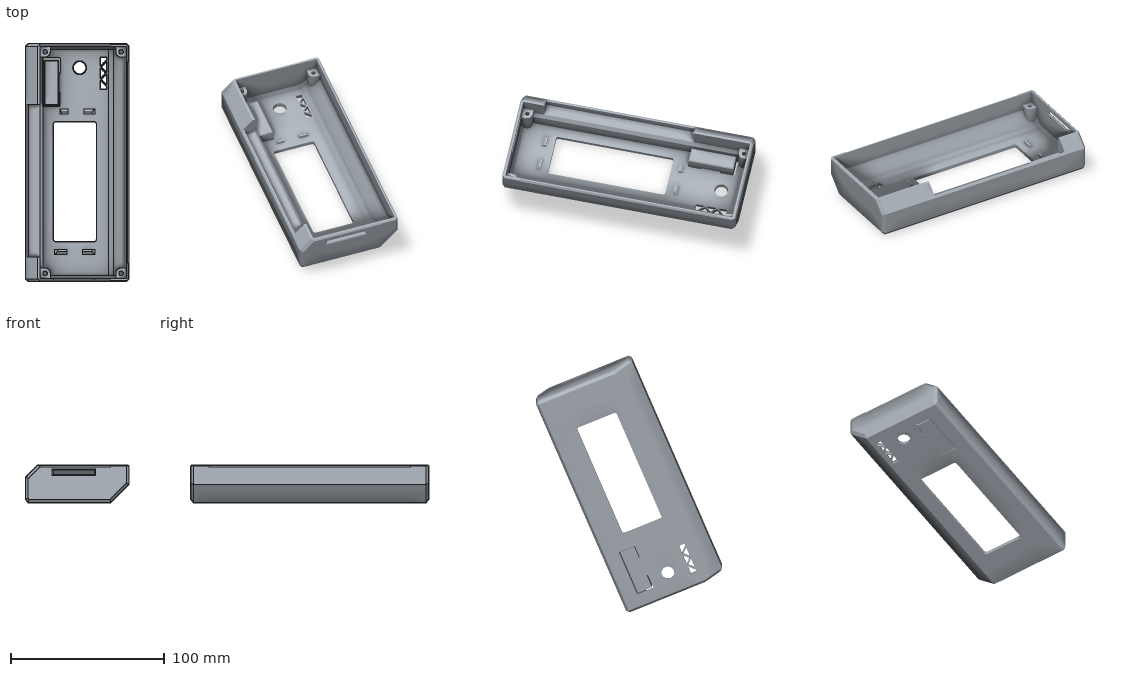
import cadquery as cq
WIDTH = 67.6
LENGTH = 155.0
HEIGHT = 24.5
END_WALL = 2.0
RIGHT_WALL = 1.9
FLOOR = 2.5

LEFT_SLOPE = 7.9
RIGHT_SLOPE = 12.1
CORNER_BEVEL = 1.9
BOTTOM_BEVEL_HEIGHT = 2.3
RIM_BEVEL = 1.0
RIM_CORNER_BEVEL = 0.6

LEFT_WALL = 9.5
LEFT_WALL_STEP = 2.0
LEDGE_Z = 12.9
FLOOR_BEVEL = 2.0
SLOPE_FOOT_X = 57.5
FACET_RUN = 3.4
FACET_RISE = 1.5

NOTCH_BACK_Y = 37.7
NOTCH_FRONT_Y = -61.5
LIP_RISE = 1.0
LIP_INNER_X = 2.0

BOSS_RADIUS = 3.4
BOSS_INSET = 3.4
BOSS_TOP_Z = 16.0
SCREW_HOLE_DIAMETER = 3.0
SCREW_HOLE_DEPTH = 6.0

WINDOW_X = (18.3, 46.2)
WINDOW_Y = (-51.5, 26.5)
WINDOW_RADIUS = 1.5
ROUND_HOLE_CENTER = (35.3, 61.7)
ROUND_HOLE_DIAMETER = 8.0
ROUND_HOLE_TOP_DIAMETER = 9.0
VENT_CENTER = (50.8, 58.1)
VENT_WIDTH = 4.0
VENT_LENGTH = 20.6
VENT_BAR_WIDTH = 1.0
VENT_BAR_COUNT = 4

BUTTON_X = (12.1, 21.9)
BUTTON_Y = (37.0, 66.8)
BUTTON_TOP_Z = 9.3
BUTTON_BEVEL = 0.6
GAP_X = (11.2, 22.5)
GAP_Y = (36.6, 68.0)
WIDE_GAP_X = 22.8
BRIDGE_Y = (45.4, 58.1)
GAP_RADIUS = 0.6

RIDGE_HEIGHT = 1.9
RIDGE_DEPTH = 3.3
RIDGE_SLOPE = RIDGE_HEIGHT
SHORT_RIDGE_SLOPE = 1.0
BACK_RIDGE_Y = 31.6
FRONT_RIDGE_Y = -56.5
RIDGE_OUTER_RIGHT_X = 45.3

SLOT_X = (17.5, 45.7)
SLOT_Z = (17.7, 22.0)
SLOT_BEVEL = 0.8

HALF_LENGTH = LENGTH / 2
CAVITY_HALF_LENGTH = HALF_LENGTH - END_WALL
CAVITY_RIGHT = WIDTH - RIGHT_WALL
KNEE_Z = HEIGHT - LEFT_SLOPE


def box(x_range, y_range, z_range):
    """Axis-aligned block between the given limits."""
    size = [high - low for low, high in (x_range, y_range, z_range)]
    return cq.Workplane("XY").box(*size, centered=False).translate((x_range[0], y_range[0], z_range[0]))


def prism_along_y(points, y_start, y_end):
    """Extrude an (x, z) outline between two Y positions."""
    prism = cq.Workplane("XZ").polyline(points).close().extrude(y_start - y_end)
    return prism.translate((0, y_start, 0))


def prism_along_x(points, x_start, x_end):
    """Extrude a (y, z) outline between two X positions."""
    prism = cq.Workplane("YZ").polyline(points).close().extrude(x_end - x_start)
    return prism.translate((x_start, 0, 0))


def outer_shell():
    profile = [
        (CORNER_BEVEL, 0),
        (WIDTH - RIGHT_SLOPE, 0),
        (WIDTH, RIGHT_SLOPE),
        (WIDTH, HEIGHT),
        (LEFT_SLOPE, HEIGHT),
        (0, KNEE_Z),
        (0, BOTTOM_BEVEL_HEIGHT),
    ]
    shell = prism_along_y(profile, -HALF_LENGTH, HALF_LENGTH)
    shell = shell.faces("<Y or >Y").edges("not |X").chamfer(CORNER_BEVEL)
    bevel_y = HALF_LENGTH - CORNER_BEVEL
    end_outline = [
        (-bevel_y, 0),
        (bevel_y, 0),
        (HALF_LENGTH, BOTTOM_BEVEL_HEIGHT),
        (HALF_LENGTH, HEIGHT),
        (-HALF_LENGTH, HEIGHT),
        (-HALF_LENGTH, BOTTOM_BEVEL_HEIGHT),
    ]
    return shell.intersect(prism_along_x(end_outline, 0, WIDTH))


def rim_bevels():
    """Wedges that bevel the rim, with a smaller bevel around the two +X corners."""
    corner_x = WIDTH - RIGHT_SLOPE
    corner_y = HALF_LENGTH - RIGHT_SLOPE

    def right_wedge(bevel, y_start, y_end):
        corner = [(WIDTH, HEIGHT), (WIDTH - bevel, HEIGHT), (WIDTH, HEIGHT - bevel)]
        return prism_along_y(corner, y_start, y_end)

    def end_wedge(bevel, side, x_start, x_end):
        end_y = side * HALF_LENGTH
        corner = [(end_y, HEIGHT), (end_y - side * bevel, HEIGHT), (end_y, HEIGHT - bevel)]
        return prism_along_x(corner, x_start, x_end)

    wedges = right_wedge(RIM_BEVEL, -corner_y, corner_y)
    wedges = wedges.union(right_wedge(RIM_CORNER_BEVEL, -HALF_LENGTH, HALF_LENGTH))
    for side in (-1, 1):
        wedges = wedges.union(end_wedge(RIM_BEVEL, side, 0, corner_x))
        wedges = wedges.union(end_wedge(RIM_CORNER_BEVEL, side, corner_x, WIDTH))
    return wedges


def cavity():
    step_x = LEFT_WALL + LEFT_WALL_STEP
    slope_foot_z = FLOOR + FACET_RISE
    slope_top_z = slope_foot_z + CAVITY_RIGHT - SLOPE_FOOT_X
    profile = [
        (LEFT_WALL, HEIGHT),
        (LEFT_WALL, LEDGE_Z),
        (step_x, LEDGE_Z - LEFT_WALL_STEP),
        (step_x, FLOOR),
        (SLOPE_FOOT_X - FACET_RUN, FLOOR),
        (SLOPE_FOOT_X, slope_foot_z),
        (CAVITY_RIGHT, slope_top_z),
        (CAVITY_RIGHT, HEIGHT),
    ]
    hollow = prism_along_y(profile, -CAVITY_HALF_LENGTH, CAVITY_HALF_LENGTH)
    lower_corner = (step_x, -HALF_LENGTH, 0)
    upper_corner = (CAVITY_RIGHT, HALF_LENGTH, slope_top_z)
    lower_edges = cq.selectors.BoxSelector(lower_corner, upper_corner)
    return hollow.faces("<Y or >Y").edges("not |Z").edges(lower_edges).chamfer(FLOOR_BEVEL)


def side_notch():
    lip_z = KNEE_Z + LIP_RISE
    profile = [
        (0, lip_z),
        (LIP_INNER_X, lip_z),
        (LIP_INNER_X, LEDGE_Z),
        (LEFT_WALL, LEDGE_Z),
        (LEFT_WALL, HEIGHT),
        (0, HEIGHT),
    ]
    return prism_along_y(profile, NOTCH_FRONT_Y, NOTCH_BACK_Y)


def add_bosses(body):
    """Add a screw boss in each corner of the cavity, then drill its blind hole."""
    shell = outer_shell()
    reach = BOSS_INSET + BOSS_RADIUS
    for wall_x, inward_x in ((LEFT_WALL, 1), (CAVITY_RIGHT, -1)):
        for wall_y, inward_y in ((-CAVITY_HALF_LENGTH, 1), (CAVITY_HALF_LENGTH, -1)):
            block = box(
                sorted((wall_x, wall_x + inward_x * reach)),
                sorted((wall_y, wall_y + inward_y * reach)),
                (0, BOSS_TOP_Z),
            )
            free_side = ("<" if inward_x < 0 else ">") + "X"
            free_end = ("<" if inward_y < 0 else ">") + "Y"
            boss = block.faces(free_side).edges(free_end).fillet(BOSS_RADIUS)
            body = body.union(boss.intersect(shell))
            center = (wall_x + inward_x * BOSS_INSET, wall_y + inward_y * BOSS_INSET, BOSS_TOP_Z)
            hole = cq.Workplane("XY").circle(SCREW_HOLE_DIAMETER / 2).extrude(-SCREW_HOLE_DEPTH)
            body = body.cut(hole.translate(center))
    return body


def window():
    return box(WINDOW_X, WINDOW_Y, (0, FLOOR)).edges("|Z").fillet(WINDOW_RADIUS)


def round_hole():
    """Round hole that widens evenly towards the top of the floor."""
    lower = cq.Workplane("XY").circle(ROUND_HOLE_DIAMETER / 2)
    cone = lower.workplane(offset=FLOOR).circle(ROUND_HOLE_TOP_DIAMETER / 2).loft()
    return cone.translate((*ROUND_HOLE_CENTER, 0))


def vent():
    """Rectangular opening crossed by a zigzag of 45 degree bars."""
    opening = cq.Workplane("XY").rect(VENT_WIDTH, VENT_LENGTH).extrude(FLOOR)
    bar_length = 2 * VENT_WIDTH
    for index in range(VENT_BAR_COUNT):
        bar_y = (index - (VENT_BAR_COUNT - 1) / 2) * VENT_WIDTH
        angle = -45 if index % 2 == 0 else 45
        bar = cq.Workplane("XY").rect(bar_length, VENT_BAR_WIDTH).extrude(FLOOR)
        bar = bar.rotate((0, 0, 0), (0, 0, 1), angle).translate((0, bar_y, 0))
        opening = opening.cut(bar)
    return opening.translate((*VENT_CENTER, 0))


def button_gap():
    """Slot around the button, interrupted by the bridge that holds the button."""
    gap_z = (0, FLOOR)
    gap = box(GAP_X, GAP_Y, gap_z)
    gap = gap.union(box((BUTTON_X[1], WIDE_GAP_X), (BRIDGE_Y[1], GAP_Y[1]), gap_z))
    gap = gap.edges("|Z and (<Y or >Y)").fillet(GAP_RADIUS)
    return gap.cut(box((BUTTON_X[1], WIDE_GAP_X), BRIDGE_Y, gap_z))


def button():
    return box(BUTTON_X, BUTTON_Y, (0, BUTTON_TOP_Z)).faces(">Z").edges().chamfer(BUTTON_BEVEL)


def ridge(x_upright, x_slope_foot, y_upright, y_direction, end_slope=RIDGE_SLOPE):
    """Ridge with one upright long side, the other long side and one end sloping."""
    top_z = FLOOR + RIDGE_HEIGHT
    end_direction = 1 if x_slope_foot > x_upright else -1
    y_foot = y_upright + y_direction * RIDGE_DEPTH
    long_outline = [
        (y_upright, 0),
        (y_foot, 0),
        (y_foot, FLOOR),
        (y_foot - y_direction * RIDGE_SLOPE, top_z),
        (y_upright, top_z),
    ]
    end_outline = [
        (x_upright, 0),
        (x_slope_foot, 0),
        (x_slope_foot, FLOOR),
        (x_slope_foot - end_direction * end_slope, top_z),
        (x_upright, top_z),
    ]
    along_x = prism_along_x(long_outline, *sorted((x_upright, x_slope_foot)))
    return along_x.intersect(prism_along_y(end_outline, *sorted((y_upright, y_foot))))


def front_slot():
    """Slot through the front wall, narrowing over the bevel at its mouth."""
    width = SLOT_X[1] - SLOT_X[0]
    height = SLOT_Z[1] - SLOT_Z[0]
    center = ((SLOT_X[0] + SLOT_X[1]) / 2, -HALF_LENGTH, (SLOT_Z[0] + SLOT_Z[1]) / 2)
    mouth = cq.Workplane("XZ").rect(width, height).extrude(-SLOT_BEVEL, taper=45)
    throat = cq.Workplane("XZ").rect(width - 2 * SLOT_BEVEL, height - 2 * SLOT_BEVEL).extrude(-END_WALL)
    return mouth.union(throat).translate(center)


body = outer_shell().cut(rim_bevels()).cut(cavity()).cut(side_notch())
body = add_bosses(body)
for opening in (window(), round_hole(), vent(), button_gap(), front_slot()):
    body = body.cut(opening)

raised_features = (
    button(),
    ridge(27.9, 22.5, BACK_RIDGE_Y, 1, end_slope=SHORT_RIDGE_SLOPE),
    ridge(38.3, RIDGE_OUTER_RIGHT_X, BACK_RIDGE_Y, 1),
    ridge(27.1, 19.0, FRONT_RIDGE_Y, -1),
    ridge(37.4, RIDGE_OUTER_RIGHT_X, FRONT_RIDGE_Y, -1),
)
for feature in raised_features:
    body = body.union(feature)

result = body